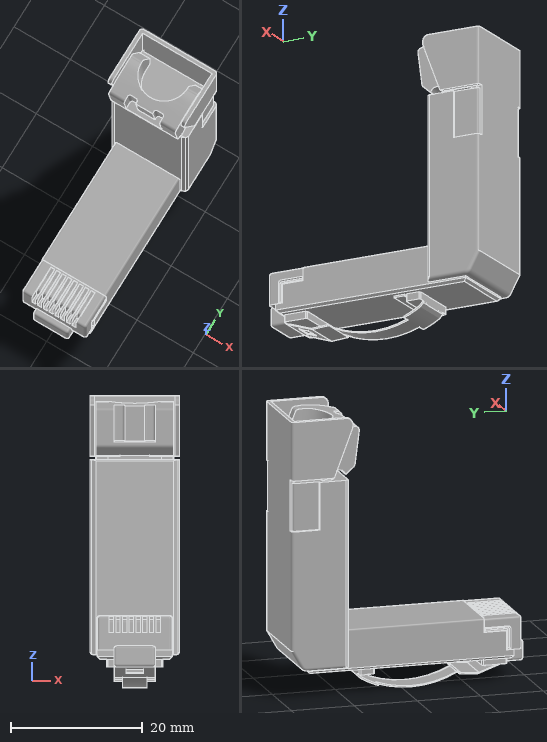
import cadquery as cq
import math


total_height = 44.4
total_depth = 37.93
body_width = 13.65

sleeve_depth = 9.25
sleeve_bottom = 5.0
sleeve_top = 34.7
sleeve_edge_radius = 0.55
heel_depth = 1.85
heel_height = 3.35
heel_radius = 1.1
front_bevel_side = 0.65
front_bevel_face = 0.9
front_bevel_mid = 0.25
rim_chamfer = 0.18
recess_bottom = 27.2
recess_depth = 4.45
recess_side_step = 0.4
recess_back_step = 0.3
recess_corner_radius = 0.35
tab_width = 11.9

cap_bottom = 35.17
cap_depth = 9.73
cap_back_wall = 0.6
cap_side_wall = 0.65
cap_back_radius = 0.5
cap_front_radius = 0.98
cap_slope_top = 43.0
cap_slope_foot = (7.05, 35.95)
cap_foot_depth = 6.75

clamp_clearance = 0.2
clamp_width = body_width - 2 * (cap_side_wall + clamp_clearance)
clamp_back = 1.95
clamp_front_edge = 11.0
clamp_front_top = 42.15
clamp_foot_depth = 10.35
clamp_foot_height = 37.0
clamp_peak = 43.45
channel_radius = 4.05
channel_center_depth = 4.25
channel_center_height = 42.65
channel_lean = 7.0
pocket_width = 6.3
pocket_floor = 0.4
rib_width = 3.0
rib_recess = 0.75
groove_recess = 1.5
groove_radius = 0.4
neck_back = 5.05
neck_front = 6.85
neck_width = 11.65

clamp_front_lean = math.degrees(math.atan2(
    clamp_front_edge - clamp_foot_depth, clamp_front_top - clamp_foot_height))

plug_width = 11.45
plug_top = 10.95
plug_bottom = 4.3
plug_back = 2.9
plug_front = 36.85
plug_chin_depth = 35.65
plug_chin_top = 5.75
plug_bottom_chamfer = 0.45
plug_top_radius = 0.4
nose_radius = 0.45
nose_back = 30.9
nose_inset = 0.05

groove_top = 9.5
groove_width = 0.75
groove_front = 35.2
groove_depth = 0.2
groove_taper = 45.0
groove_bend_radius = 0.55

contact_count = 8
contact_pitch = 1.0
slot_width = 0.65
slot_back = 31.25
slot_floor = 8.45
contact_ramp_back_height = 10.85
contact_flat_back = 32.9
contact_front = 35.5
contact_top = 10.4
contact_radius = 0.55

pad_width = 8.53
pad_bottom = 3.15
rear_pad = (11.5, 13.95)
front_pad = (31.0, 35.0)
stop_pad = (14.2, 16.05)
stop_pad_bottom = 4.05
pad_chamfer = 0.2
latch_width = 6.3
latch_back = 34.9
latch_top = 6.4
latch_radius = 0.45
hook_front = 14.88
lever_back = 27.75
spring_width = 3.75
strip_shift = (0.18, 0.2)
window_width = 2.65
window = (32.35, 33.95)


def side_sketch():
    """Workplane on X = 0 whose local axes are depth (-Y) and height (+Z)."""
    return cq.Workplane(cq.Plane(origin=(0, 0, 0), xDir=(0, -1, 0), normal=(-1, 0, 0)))


def side_block(width, depths, heights):
    """Box centred on X, between two depths and two heights."""
    corners = [(d, h) for d, h in zip(
        (depths[0], depths[1], depths[1], depths[0]),
        (heights[0], heights[0], heights[1], heights[1]))]
    return side_sketch().polyline(corners).close().extrude(width / 2, both=True)


def mirrored(half):
    """A shape together with its mirror image across X = 0."""
    return half.union(half.mirror("YZ"))


def make_sleeve():
    half_width = body_width / 2
    outline = [
        (0, sleeve_top),
        (0, sleeve_bottom + heel_height),
        (heel_depth, sleeve_bottom),
        (sleeve_depth, sleeve_bottom),
        (sleeve_depth, sleeve_top),
    ]
    sleeve = side_sketch().polyline(outline).close().extrude(half_width, both=True)
    sleeve = sleeve.edges(cq.selectors.NearestToPointSelector((0, -heel_depth, sleeve_bottom))) \
        .fillet(heel_radius)
    rounded = sleeve.faces("<X or >X").edges("not (>Z or <Y)")
    sleeve = rounded.fillet(sleeve_edge_radius)
    sleeve = sleeve.faces(">Z").edges("<Y").chamfer(rim_chamfer)

    bevel = (
        cq.Workplane("XY")
        .polyline([
            (half_width, -sleeve_depth + front_bevel_side),
            (half_width - front_bevel_mid, -sleeve_depth + front_bevel_mid),
            (half_width - front_bevel_face, -sleeve_depth),
            (half_width, -sleeve_depth),
        ])
        .close()
        .extrude(total_height)
    )
    sleeve = sleeve.cut(mirrored(bevel))

    recess = side_block(body_width, (0, recess_depth), (recess_bottom, sleeve_top))
    core_width = body_width - 2 * recess_side_step
    core = side_block(core_width, (recess_back_step, recess_depth), (recess_bottom, sleeve_top))
    core = core.edges("|Z and >Y").fillet(recess_corner_radius)
    tab = side_block(tab_width, (0, cap_back_wall), (recess_bottom, cap_bottom))
    return sleeve.cut(recess).union(core).union(tab)


def make_cap():
    outline = [
        (0, cap_bottom),
        (0, total_height),
        (cap_depth, total_height),
        (cap_depth, cap_slope_top),
        cap_slope_foot,
        (cap_foot_depth, cap_bottom),
    ]
    cap = side_sketch().polyline(outline).close().extrude(body_width / 2, both=True)
    cap = cap.edges("|Z and >Y").fillet(cap_back_radius)
    cap = cap.faces(">Z").edges("<Y").fillet(cap_front_radius)
    inside_width = body_width - 2 * cap_side_wall
    return cap.cut(side_block(inside_width, (cap_back_wall, total_depth), (0, total_height)))


def make_clamp():
    clamp = (
        side_sketch()
        .moveTo(clamp_back, cap_bottom)
        .lineTo(clamp_back, 38.2)
        .lineTo(3.77, 42.9)
        .threePointArc((4.05, 43.3), (4.6, clamp_peak))
        .threePointArc((5.77, 43.5), (6.95, 43.45))
        .threePointArc((8.7, 43.2), (10.4, 42.8))
        .threePointArc((10.85, 42.6), (clamp_front_edge, clamp_front_top))
        .lineTo(clamp_foot_depth, clamp_foot_height)
        .threePointArc((10.25, 36.7), (10.05, 36.4))
        .lineTo(8.85, 35.35)
        .threePointArc((8.15, 36.05), (7.2, 35.95))
        .threePointArc((6.9, 35.65), (cap_foot_depth, cap_bottom))
        .close()
        .extrude(clamp_width / 2, both=True)
    )
    neck = side_block(neck_width, (neck_back, neck_front), (sleeve_top, cap_bottom))
    neck = neck.cut(side_block(2 * channel_radius, (0, total_depth), (0, total_height)))
    clamp = clamp.union(neck)

    reach = total_height
    channel_plan = (
        cq.Workplane("XY")
        .moveTo(-channel_radius, reach)
        .lineTo(-channel_radius, 0)
        .threePointArc((0, -channel_radius), (channel_radius, 0))
        .lineTo(channel_radius, reach)
        .close()
        .extrude(reach / 4, both=True)
    )
    channel = channel_plan.rotate((0, 0, 0), (1, 0, 0), channel_lean) \
        .translate((0, -channel_center_depth, channel_center_height))
    channel = channel.intersect(
        side_block(body_width, (0, total_depth), (sleeve_top, total_height)))
    clamp = clamp.cut(channel)

    return clamp.cut(make_front_pocket())


def make_front_pocket():
    """Pocket in the clamp front, open at the top: two grooves beside a recessed rib.

    Built against an upright face, then leaned over with the clamp front.
    """
    face = clamp_foot_depth
    floor = clamp_foot_height + pocket_floor
    outside = face + rib_recess
    pocket = side_block(pocket_width, (face - groove_recess, outside), (floor, total_height))
    rib = side_block(rib_width, (0, face - rib_recess), (floor, total_height))
    grooves = pocket.cut(rib).faces(">Y").edges("|Z").fillet(groove_radius)
    return grooves.rotate(
        (0, -clamp_foot_depth, clamp_foot_height),
        (1, -clamp_foot_depth, clamp_foot_height),
        clamp_front_lean)


def make_side_groove():
    """Bent groove with sloping walls in the plug side at -X, running forward then down."""
    inner_top = groove_top - groove_width
    inner_front = groove_front - groove_width
    return (
        side_sketch()
        .workplane(offset=plug_width / 2)
        .moveTo(nose_back, groove_top)
        .lineTo(groove_front - groove_bend_radius, groove_top)
        .radiusArc((groove_front, groove_top - groove_bend_radius), groove_bend_radius)
        .lineTo(groove_front, plug_chin_top)
        .lineTo(inner_front, plug_chin_top)
        .lineTo(inner_front, inner_top)
        .lineTo(nose_back, inner_top)
        .close()
        .extrude(-groove_depth - nose_inset, taper=groove_taper)
    )


def make_contact_slot():
    """Slot open to the top and front with the contact left standing inside."""
    slot = side_block(slot_width, (slot_back, plug_front), (slot_floor, plug_top))
    contact = (
        side_sketch()
        .moveTo(slot_back, slot_floor)
        .lineTo(slot_back, contact_ramp_back_height)
        .lineTo(contact_flat_back, contact_top)
        .lineTo(contact_front - contact_radius, contact_top)
        .radiusArc((contact_front, contact_top - contact_radius), contact_radius)
        .lineTo(contact_front, slot_floor)
        .close()
        .extrude(slot_width / 2, both=True)
    )
    return slot.cut(contact)


def make_plug():
    barrel = side_block(plug_width, (plug_back, plug_chin_depth), (plug_bottom, plug_top))
    barrel = barrel.cut(side_block(plug_width, (0, sleeve_depth), (sleeve_bottom, plug_top)))
    barrel = barrel.faces("<Z").edges().chamfer(plug_bottom_chamfer)
    barrel = barrel.faces(">Z").edges("|Y").fillet(plug_top_radius)
    barrel = barrel.cut(
        side_block(plug_width, (nose_back, plug_front), (groove_top - groove_width, plug_top)))
    barrel = barrel.cut(
        side_block(plug_width, (groove_front - groove_width, plug_front), (plug_chin_top, plug_top)))

    nose = side_block(
        plug_width - 2 * nose_inset, (nose_back, plug_front), (plug_chin_top, plug_top - nose_inset))
    nose = nose.edges("(|Y and >Z) or (|Z and <Y) or (|X and >Z and <Y)").fillet(nose_radius)
    plug = barrel.union(nose).cut(mirrored(make_side_groove()))
    slot = make_contact_slot()
    for index in range(contact_count):
        offset = (index - (contact_count - 1) / 2) * contact_pitch
        plug = plug.cut(slot.translate((offset, 0, 0)))
    return plug


def make_pads():
    pads = side_block(pad_width, stop_pad, (stop_pad_bottom, plug_bottom))
    for depths in (rear_pad, front_pad):
        pad = side_block(pad_width, depths, (pad_bottom, plug_bottom))
        pads = pads.union(pad.edges("|Z").chamfer(pad_chamfer))
    return pads


def make_strip(width):
    """Thin bent latch strip hanging below the plug, full length."""
    shift_depth, shift_height = strip_shift
    hook_top = (rear_pad[0], pad_bottom + strip_shift[1])
    hook_low = (rear_pad[0], 2.85)
    bow_back = (12.1, 2.25)
    bow_low = (20.4, 0)
    bow_front = (27.75, 1.78)
    knee = (30.65, 1.6)
    tip = (latch_back + strip_shift[0], 3.15)

    def upper(point):
        return (point[0] + shift_depth, point[1] + shift_height)

    return (
        side_sketch()
        .moveTo(*hook_top)
        .lineTo(*hook_low)
        .lineTo(*bow_back)
        .threePointArc(bow_low, bow_front)
        .lineTo(*knee)
        .lineTo(*tip)
        .lineTo(*upper(tip))
        .lineTo(*upper(knee))
        .lineTo(*upper(bow_front))
        .threePointArc(upper(bow_low), upper(bow_back))
        .lineTo(*upper(hook_low))
        .lineTo(*upper(hook_top))
        .close()
        .extrude(width / 2, both=True)
    )


def make_latch():
    catch = side_block(latch_width, (latch_back, total_depth), (pad_bottom, latch_top))
    catch = catch.edges("|Z and <Y").fillet(latch_radius)
    catch = catch.faces("<Y").edges("|X").fillet(latch_radius)
    wide_strip = make_strip(latch_width).cut(
        side_block(latch_width, (hook_front, lever_back), (-strip_shift[1], plug_top)))
    wide_strip = wide_strip.cut(side_block(window_width, window, (0, pad_bottom)))
    spring = make_strip(spring_width).intersect(
        side_block(spring_width, (hook_front, lever_back), (-strip_shift[1], plug_top)))
    return catch.union(wide_strip).union(spring)


result = (
    make_sleeve()
    .union(make_cap())
    .union(make_clamp())
    .union(make_plug())
    .union(make_pads())
    .union(make_latch())
)